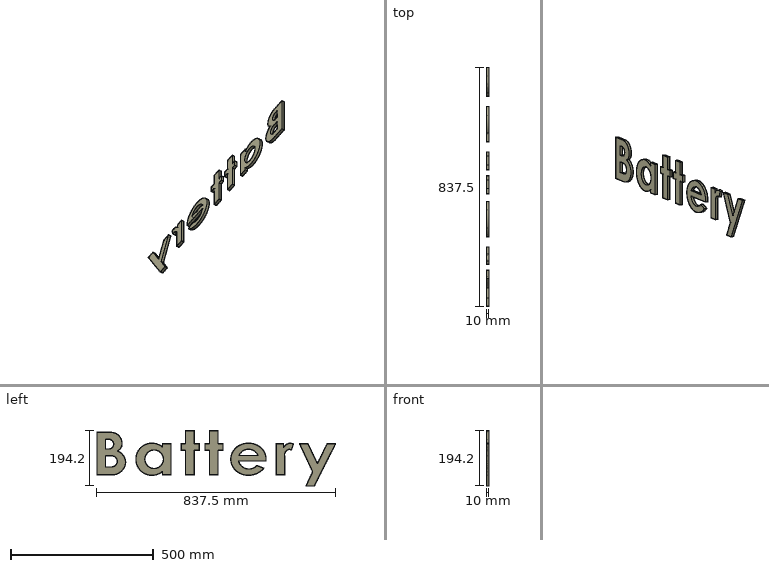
import cadquery as cq


word_length = 837.5
word_height = 194.23
thickness = 10.0
stem_width = 30.7
cap_height = 149.7
x_height = 110.0
descender = 39.2
ascender = word_height - descender
round_overshoot = 1.8
round_radius = x_height / 2 + round_overshoot
round_center_z = x_height / 2

a_start = 136.7
t_starts = (295.8, 379.2)
e_start = 469.3
r_start = 628.7
y_width = 127.5
y_start = word_length - y_width

letter_plane = cq.Plane(origin=(0, word_length / 2, 0), xDir=(0, -1, 0), normal=(-1, 0, 0))


def sketch(start):
    """Workplane whose origin is on the baseline at the left edge of a letter."""
    return cq.Workplane(letter_plane).center(start, 0)


def block(start, left, right, bottom, top):
    """Rectangular bar of a letter."""
    corners = [(left, bottom), (right, bottom), (right, top), (left, top)]
    return sketch(start).polyline(corners).close().extrude(-thickness)


def bowl_counter(bottom, top, right):
    """Opening of the B: straight at the stem and a half circle at the right end."""
    radius = (top - bottom) / 2
    arc_start = right - radius
    return (
        sketch(0)
        .moveTo(stem_width, bottom)
        .lineTo(arc_start, bottom)
        .threePointArc((right, bottom + radius), (arc_start, top))
        .lineTo(stem_width, top)
        .close()
        .extrude(-thickness)
    )


def letter_b():
    waist = (72.5, 84.3)
    upper_arc_start = 46.0
    upper_shoulder = (78.3, 137.2)
    upper_side = (89.0, 110.0)
    upper_flank = (84.5, 94.0)
    lower_flank = (94.5, 66.5)
    lower_side = (101.9, 44.5)
    lower_shoulder = (87.0, 13.0)
    lower_arc_start = 52.0
    outline = (
        sketch(0)
        .lineTo(0, cap_height)
        .lineTo(upper_arc_start, cap_height)
        .threePointArc(upper_shoulder, upper_side)
        .threePointArc(upper_flank, waist)
        .threePointArc(lower_flank, lower_side)
        .threePointArc(lower_shoulder, (lower_arc_start, 0))
        .close()
        .extrude(-thickness)
    )
    upper_counter = bowl_counter(bottom=91.4, top=124.8, right=58.9)
    lower_counter = bowl_counter(bottom=28.5, top=66.7, right=71.5)
    return outline.cut(upper_counter).cut(lower_counter)


def letter_a():
    width = 124.3
    counter_center_u = 64.4
    counter_radius = 32.1
    bowl = sketch(a_start).center(round_radius, round_center_z).circle(round_radius).extrude(-thickness)
    stem = block(a_start, width - stem_width, width, 0, x_height)
    counter = (
        sketch(a_start)
        .center(counter_center_u, round_center_z)
        .circle(counter_radius)
        .extrude(-thickness)
    )
    return bowl.union(stem).cut(counter)


def letter_t(start):
    stem_left = 15.2
    bar_width = 63.5
    bar_height = 23.7
    stem = block(start, stem_left, stem_left + stem_width, 0, ascender)
    bar = block(start, 0, bar_width, x_height - bar_height, x_height)
    return stem.union(bar)


def letter_e():
    half_width = 62.3
    counter_left = 29.8
    counter_right = 95.2
    counter_bottom = 69.0
    counter_top = 89.7
    mouth_left = (28.1, 48.7)
    mouth_bottom = (61.4, 21.0)
    mouth_corner = (91.7, 33.6)
    mouth_tip = (117.0, 23.5)
    lower_arm_flank = (93.5, 5.5)
    lowest_angle = 270

    outline = (
        sketch(e_start)
        .moveTo(*mouth_left)
        .lineTo(2 * half_width, mouth_left[1])
        .lineTo(2 * half_width, round_center_z)
        .ellipseArc(half_width, round_radius, 0, lowest_angle, sense=1)
        .threePointArc(lower_arm_flank, mouth_tip)
        .lineTo(*mouth_corner)
        .threePointArc(mouth_bottom, mouth_left)
        .close()
        .extrude(-thickness)
    )
    counter = (
        sketch(e_start)
        .moveTo(counter_left, counter_bottom)
        .threePointArc((half_width, counter_top), (counter_right, counter_bottom))
        .close()
        .extrude(-thickness)
    )
    return outline.cut(counter)


def letter_r():
    notch = (25.9, 96.7)
    arm_crown = (34.5, 106.3)
    arm_top = (49.0, x_height + round_overshoot)
    arm_tip = (61.2, 109.3)
    arm_end = (53.6, 86.9)
    arm_underside = (46.0, 89.6)
    throat = (35.0, 83.5)
    throat_bottom_z = 64.0
    return (
        sketch(r_start)
        .lineTo(0, x_height)
        .lineTo(notch[0], x_height)
        .lineTo(*notch)
        .threePointArc(arm_crown, arm_top)
        .lineTo(*arm_tip)
        .lineTo(*arm_end)
        .lineTo(*arm_underside)
        .threePointArc(throat, (stem_width, throat_bottom_z))
        .lineTo(stem_width, 0)
        .close()
        .extrude(-thickness)
    )


def letter_y():
    arm_width = 30.0
    fork = (63.2, 40.7)
    foot_left = 22.5
    joint = (46.3, 11.0)
    outline = [
        (0, x_height),
        (arm_width, x_height),
        fork,
        (y_width - arm_width, x_height),
        (y_width, x_height),
        (foot_left + arm_width, -descender),
        (foot_left, -descender),
        joint,
    ]
    return sketch(y_start).polyline(outline).close().extrude(-thickness)


letters = [letter_b(), letter_a()]
for t_start in t_starts:
    letters.append(letter_t(t_start))
letters += [letter_e(), letter_r(), letter_y()]

result = cq.Compound.makeCompound([letter.solids().val() for letter in letters])